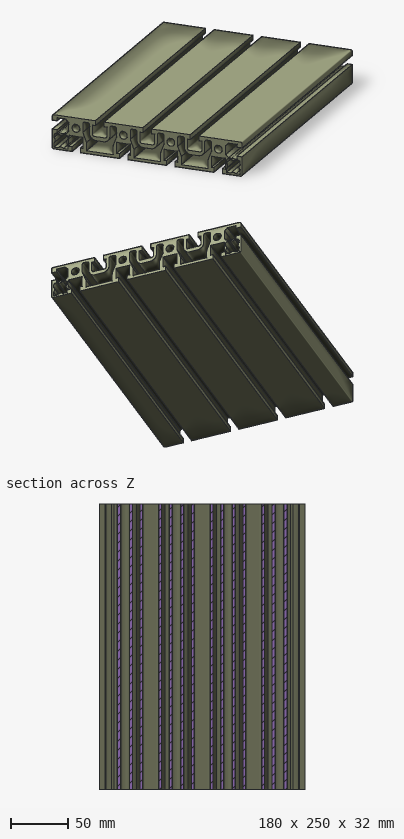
import cadquery as cq

width = 180.0
length = 250.0
height = 32.0
corner_radius = 1.5

pitch = 45.0
web_centers = [pitch * (i - 1.5) for i in range(4)]
top_slot_centers = [pitch * (i - 1) for i in range(3)]
bore_diameter = 7.2
bore_z = 22.2

mouth_width = 8.2
lip_thickness = 4.5
top_slot_width = 13.8
top_slot_depth = 14.8
top_slot_radius = 2.0
bottom_mouth_width = 8.0
bottom_mouth_shift = 0.2
bottom_slot_depth = 14.8
bottom_slot_radius = 2.0
side_slot_z = 22.5
side_slot_width = 13.8
side_slot_depth = 15.5
side_lip_thickness = 4.8
side_slot_chamfer = 2.8

channel_wall = 2.8
channel_floor = 3.8
channel_outer_radius = 6.0
skin = 2.8
web_half_width = 6.5
foot_half_width = 10.0
foot_top_z = 10.5
shoulder_z = 19.5
chamber_radius = 2.0

tube_wall = 1.8
tube_thin_wall = 0.8
tube_radius = 2.5
bump_width = 5.0
bump_height = 1.0


def block(x_min, x_max, z_min, z_max):
    """Full-length rectangular bar."""
    size_x = x_max - x_min
    size_z = z_max - z_min
    center = ((x_min + x_max) / 2, 0, (z_min + z_max) / 2)
    return cq.Workplane("XY").box(size_x, length, size_z).translate(center)


def centered_block(x, bar_width, z_min, z_max):
    return block(x - bar_width / 2, x + bar_width / 2, z_min, z_max)


def top_slot(x):
    """T-slot open to the top, with a rounded floor."""
    mouth = centered_block(x, mouth_width, height - lip_thickness, height)
    cavity = centered_block(x, top_slot_width, height - top_slot_depth, height - lip_thickness)
    return cavity.edges("|Y and <Z").fillet(top_slot_radius).union(mouth)


def bottom_slot(x):
    """Slot open to the bottom on the -X half, its mouth set slightly towards the middle."""
    mouth = centered_block(x + bottom_mouth_shift, bottom_mouth_width, 0, lip_thickness)
    cavity = centered_block(x, 2 * web_half_width, lip_thickness, bottom_slot_depth)
    return cavity.union(mouth)


def outer_bottom_slot(x):
    """Outermost -X bottom slot, widened to the wall that lines up with the side slot floor."""
    x_wall = -width / 2 + side_slot_depth
    widening = block(x_wall, x, lip_thickness, bottom_slot_depth)
    widening = widening.edges("|Y and <X and >Z").fillet(bottom_slot_radius)
    return bottom_slot(x).union(widening)


def side_slot():
    """T-slot open to the -X side, with chamfered inner corners."""
    x_side = -width / 2
    x_lip = x_side + side_lip_thickness
    half_mouth = mouth_width / 2
    half_slot = side_slot_width / 2
    mouth = block(x_side, x_lip, side_slot_z - half_mouth, side_slot_z + half_mouth)
    cavity = block(x_lip, x_side + side_slot_depth, side_slot_z - half_slot, side_slot_z + half_slot)
    return cavity.edges("|Y and >X").chamfer(side_slot_chamfer).union(mouth)


def chamber(x):
    """Hollow between two webs, wrapped around the channel of a top slot."""
    foot = pitch / 2 - foot_half_width
    waist = pitch / 2 - web_half_width
    ceiling = height - skin
    right_side = [(foot, skin), (foot, foot_top_z), (waist, shoulder_z), (waist, ceiling)]
    left_side = [(-u, z) for u, z in reversed(right_side)]
    hollow = (
        cq.Workplane("XZ")
        .polyline(right_side + left_side)
        .close()
        .extrude(length / 2, both=True)
    )
    channel_width = top_slot_width + 2 * channel_wall
    channel_bottom = height - top_slot_depth - channel_floor
    channel = centered_block(0, channel_width, channel_bottom, height)
    channel = channel.edges("|Y and <Z").fillet(channel_outer_radius)
    return hollow.cut(channel).edges("|Y and >Z").fillet(chamber_radius).translate((x, 0, 0))


def corner_tube():
    """Square hollow at the lower -X corner, with a shallow rib along each wall."""
    x_min = -width / 2 + tube_wall
    x_max = -width / 2 + side_slot_depth - tube_thin_wall
    z_min = tube_wall
    z_max = side_slot_z - side_slot_width / 2 - tube_thin_wall
    x_mid = (x_min + x_max) / 2
    z_mid = (z_min + z_max) / 2
    half = bump_width / 2
    outline = (
        cq.Workplane("XZ")
        .moveTo(x_min, z_min)
        .lineTo(x_mid - half, z_min)
        .threePointArc((x_mid, z_min + bump_height), (x_mid + half, z_min))
        .lineTo(x_max, z_min)
        .lineTo(x_max, z_mid - half)
        .threePointArc((x_max - bump_height, z_mid), (x_max, z_mid + half))
        .lineTo(x_max, z_max)
        .lineTo(x_mid + half, z_max)
        .threePointArc((x_mid, z_max - bump_height), (x_mid - half, z_max))
        .lineTo(x_min, z_max)
        .lineTo(x_min, z_mid + half)
        .threePointArc((x_min + bump_height, z_mid), (x_min, z_mid - half))
        .close()
    )
    tube = outline.extrude(length / 2, both=True)
    return tube.edges("|Y and >Z").edges("<X or >X").fillet(tube_radius)


body = block(-width / 2, width / 2, 0, height).edges("|Y").fillet(corner_radius)

for x in top_slot_centers:
    body = body.cut(chamber(x)).cut(top_slot(x))

for x in web_centers:
    bore = (
        cq.Workplane("XZ")
        .center(x, bore_z)
        .circle(bore_diameter / 2)
        .extrude(length / 2, both=True)
    )
    body = body.cut(bore)

mirrored_cuts = (
    side_slot(),
    corner_tube(),
    outer_bottom_slot(web_centers[0]),
    bottom_slot(web_centers[1]),
)
for half_cut in mirrored_cuts:
    body = body.cut(half_cut).cut(half_cut.mirror("YZ"))

result = body